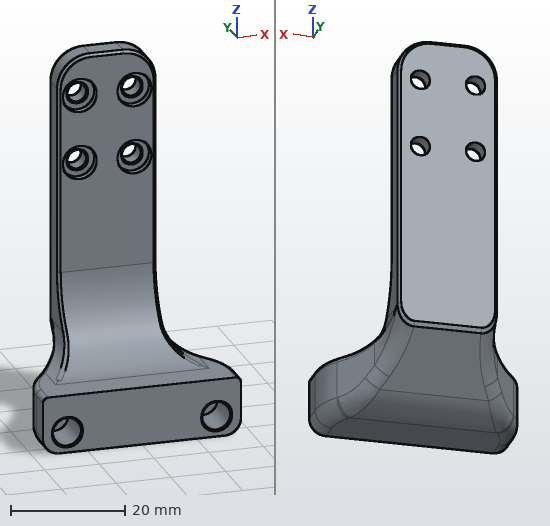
import cadquery as cq
import math

foot_width = 36.2
depth = 25.7
height = 65.75

plate_width = 18.0
plate_thickness = 5.0
plate_corner_radius = 6.0
plate_edge_chamfer = 0.5

foot_height = 10.65
foot_straight = 3.95
foot_top_fillet = 1.0
foot_bottom_fillet = 3.0

web_radius = 15.0
flare_radius = 5.0
rim_start = 0.05

heel_radius = 10.0
heel_back_height = 12.15
side_radius = 12.0
side_angle = math.radians(34.5)
heel_half_turn = math.radians(22.5)
overrun = 9.85

screw_spacing_x = 10.0
screw_spacing_z = 12.5
screw_upper_z = 58.25
screw_diameter = 3.4
screw_head_diameter = 6.2
screw_head_depth = 1.5
screw_chamfer = 0.25

foot_hole_spacing = 27.3
foot_hole_z = 3.8
foot_hole_diameter = 5.1
foot_hole_depth = 7.9
foot_hole_chamfer = 0.25

half_foot = foot_width / 2
half_plate = plate_width / 2
plate_front = depth - plate_thickness
web_start = plate_front - web_radius
flare_end = half_plate + flare_radius
flare_top = foot_height + flare_radius
diagonal = math.sqrt(0.5)
pick_margin = 0.05


def mirrored(half):
    """Complete a solid built on the +X side."""
    return half.union(half.mirror("YZ"))


def slab_above(z):
    """Large block covering everything above height z."""
    return cq.Workplane("XY").workplane(offset=z).rect(2 * foot_width, 3 * depth).extrude(height)


def edges_near(y, z):
    """Selector for edges centred at the given Y and Z, anywhere across the width."""
    return cq.selectors.BoxSelector(
        (-foot_width, y - pick_margin, z - pick_margin),
        (foot_width, y + pick_margin, z + pick_margin),
    )


def foot_outline():
    """XY outline: S-curved sides narrow the foot to the plate, extruded along Z."""
    mid_dx = side_radius * (1 - math.cos(side_angle / 2))
    mid_dy = side_radius * math.sin(side_angle / 2)
    end_dx = side_radius * (1 - math.cos(side_angle))
    end_dy = side_radius * math.sin(side_angle)
    straight_dy = (half_foot - half_plate - 2 * end_dx) / math.tan(side_angle)
    neck_y = foot_straight + 2 * end_dy + straight_dy
    half = (
        cq.Workplane("XY")
        .lineTo(half_foot, 0)
        .lineTo(half_foot, foot_straight)
        .threePointArc(
            (half_foot - mid_dx, foot_straight + mid_dy),
            (half_foot - end_dx, foot_straight + end_dy),
        )
        .lineTo(half_plate + end_dx, neck_y - end_dy)
        .threePointArc((half_plate + mid_dx, neck_y - mid_dy), (half_plate, neck_y))
        .lineTo(half_plate, depth + overrun)
        .lineTo(0, depth + overrun)
        .close()
        .extrude(height)
    )
    return mirrored(half)


def heel_outline():
    """YZ outline: flat foot base turning up into the 45 degree heel, extruded along X."""
    heel_start = depth - heel_back_height - heel_radius * math.tan(heel_half_turn)
    mid_dy = heel_radius * math.sin(heel_half_turn)
    mid_dz = heel_radius * (1 - math.cos(heel_half_turn))
    return (
        cq.Workplane("YZ")
        .lineTo(heel_start, 0)
        .threePointArc(
            (heel_start + mid_dy, mid_dz),
            (heel_start + heel_radius * diagonal, heel_radius * (1 - diagonal)),
        )
        .lineTo(depth + overrun, heel_back_height + overrun)
        .lineTo(depth + overrun, height)
        .lineTo(0, height)
        .close()
        .extrude(half_foot, both=True)
    )


def lower_body():
    """Sides and heel with the lower edges rounded all the way to the plate back."""
    body = foot_outline().intersect(heel_outline())
    return body.edges("|Y").edges(edges_near(foot_straight / 2, 0)).fillet(foot_bottom_fillet)


def web_outline():
    """YZ outline: foot top, concave web and plate front, extruded along X."""
    web_top = foot_height + web_radius
    return (
        cq.Workplane("YZ")
        .lineTo(0, foot_height)
        .lineTo(web_start, foot_height)
        .threePointArc(
            (web_start + web_radius * diagonal, web_top - web_radius * diagonal),
            (plate_front, web_top),
        )
        .lineTo(plate_front, height)
        .lineTo(depth, height)
        .lineTo(depth, 0)
        .close()
        .extrude(half_foot, both=True)
    )


def plate_outline():
    """XZ outline: round-cornered plate flaring out onto the foot, extruded along Y."""
    corner_x = half_plate - plate_corner_radius
    corner_z = height - plate_corner_radius
    half = (
        cq.Workplane("XZ")
        .lineTo(half_foot, 0)
        .lineTo(half_foot, foot_height)
        .lineTo(flare_end, foot_height)
        .threePointArc(
            (flare_end - flare_radius * diagonal, flare_top - flare_radius * diagonal),
            (half_plate, flare_top),
        )
        .lineTo(half_plate, corner_z)
        .threePointArc(
            (corner_x + plate_corner_radius * diagonal, corner_z + plate_corner_radius * diagonal),
            (corner_x, height),
        )
        .lineTo(0, height)
        .close()
        .extrude(-depth)
    )
    return mirrored(half)


def upper_body():
    """Plate, web and flares with the rim of the front face chamfered."""
    body = web_outline().intersect(plate_outline())
    rim_z = foot_height + rim_start
    upper = body.intersect(slab_above(rim_z))
    upper = upper.edges("|X").edges(edges_near(plate_front, height)).chamfer(plate_edge_chamfer)
    return body.cut(slab_above(rim_z)).union(upper)


def finish_edges(body):
    """Round the upper edges of the foot sides and chamfer the outline of the plate back."""
    body = body.edges("|Y").edges(edges_near(foot_straight / 2, foot_height)).fillet(foot_top_fillet)
    return body.edges("|X").edges(edges_near(depth, height)).chamfer(plate_edge_chamfer)


def bore(x, y, z, diameter, length):
    """Round cutter that starts at (x, y, z) and runs toward +Y."""
    return cq.Workplane(cq.Solid.makeCylinder(diameter / 2, length, cq.Vector(x, y, z), cq.Vector(0, 1, 0)))


def lead_in(x, y, z, diameter, chamfer):
    """Cone cutter that chamfers the mouth of a hole opening at (x, y, z)."""
    radius = diameter / 2
    return cq.Workplane(
        cq.Solid.makeCone(radius + chamfer, radius, chamfer, cq.Vector(x, y, z), cq.Vector(0, 1, 0))
    )


def cut_screw_holes(body):
    """Four through holes, counterbored from the plate front."""
    seat_y = plate_front + screw_head_depth
    for x in (-screw_spacing_x / 2, screw_spacing_x / 2):
        for z in (screw_upper_z, screw_upper_z - screw_spacing_z):
            body = body.cut(bore(x, plate_front, z, screw_head_diameter, screw_head_depth))
            body = body.cut(bore(x, plate_front, z, screw_diameter, plate_thickness))
            body = body.cut(lead_in(x, seat_y, z, screw_diameter, screw_chamfer))
    return body


def cut_foot_holes(body):
    """Two chamfered blind holes in the foot face."""
    for x in (-foot_hole_spacing / 2, foot_hole_spacing / 2):
        body = body.cut(bore(x, 0, foot_hole_z, foot_hole_diameter, foot_hole_depth))
        body = body.cut(lead_in(x, 0, foot_hole_z, foot_hole_diameter, foot_hole_chamfer))
    return body


bracket = finish_edges(lower_body().intersect(upper_body()))
result = cut_foot_holes(cut_screw_holes(bracket)).solids()